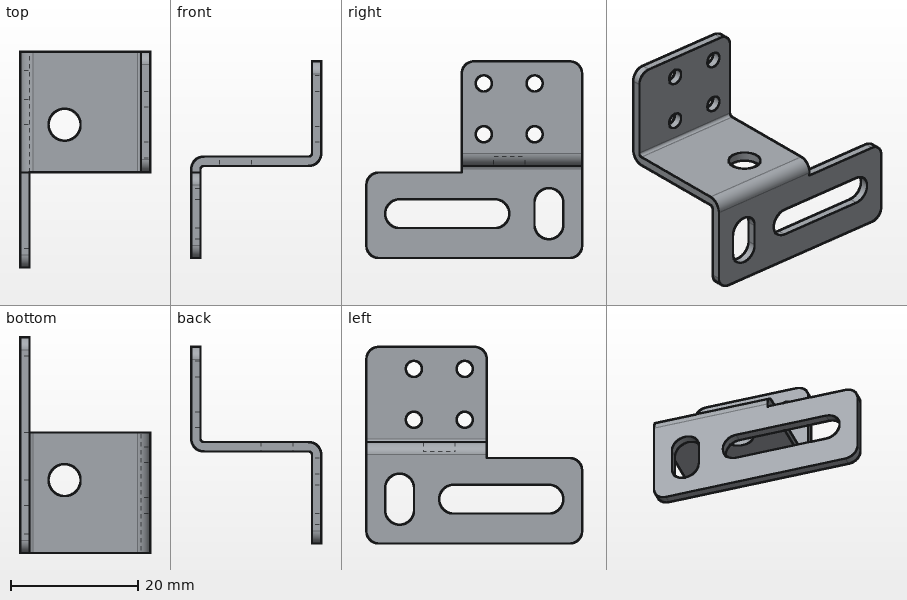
import cadquery as cq


thickness = 1.5
inner_bend_radius = 0.5
outer_bend_radius = inner_bend_radius + thickness
corner_radius = 2.0

depth_x = 20.5
length_y = 34.0
height_z = 31.0
bracket_width = 19.0
web_top_z = 16.0
web_bottom_z = web_top_z - thickness
arm_height = 13.5

slot_width = 4.5
slot_center_z = 7.0
slot_edge_margin = 3.0
short_slot_length = 8.0
long_slot_length = 19.5
short_slot_y = -(slot_edge_margin + slot_width / 2)
long_slot_y = -(length_y - slot_edge_margin - long_slot_length / 2)

small_hole_diameter = 2.5
small_hole_pitch = 8.0
small_hole_margin = 3.5
pattern_center_y = -(bracket_width - small_hole_margin - small_hole_pitch / 2)
pattern_center_z = height_z - small_hole_margin - small_hole_pitch / 2

web_hole_diameter = 5.0
web_hole_x = 7.0
web_hole_y = -11.5


def bent_strip():
    """Z-shaped strip with rounded bends."""
    upper_inner_x = depth_x - thickness
    return (
        cq.Workplane("XZ")
        .moveTo(0, 0)
        .lineTo(0, web_top_z - outer_bend_radius)
        .radiusArc((outer_bend_radius, web_top_z), outer_bend_radius)
        .lineTo(upper_inner_x - inner_bend_radius, web_top_z)
        .radiusArc((upper_inner_x, web_top_z + inner_bend_radius), -inner_bend_radius)
        .lineTo(upper_inner_x, height_z)
        .lineTo(depth_x, height_z)
        .lineTo(depth_x, web_bottom_z + outer_bend_radius)
        .radiusArc((depth_x - outer_bend_radius, web_bottom_z), outer_bend_radius)
        .lineTo(thickness + inner_bend_radius, web_bottom_z)
        .radiusArc((thickness, web_bottom_z - inner_bend_radius), -inner_bend_radius)
        .lineTo(thickness, 0)
        .close()
        .extrude(bracket_width)
    )


def lower_plate():
    """Lower plate over the full length, reaching past the front edge of the web."""
    return (
        cq.Workplane("XY", origin=(0, -length_y, 0))
        .box(thickness, length_y, arm_height, centered=False)
    )


def round_plate_corners(body):
    """Round the outer corners of both plates in the plane of the sheet."""
    return (
        body.edges("|X and (>Z or <Z)").fillet(corner_radius)
        .faces("<Y").edges("|X and >Z").fillet(corner_radius)
    )


def slot_cutter(center_y, length, angle):
    """Slot through the lower plate; at 0 degrees it runs along Y."""
    return (
        cq.Workplane("YZ")
        .center(center_y, slot_center_z)
        .slot2D(length, slot_width, angle)
        .extrude(thickness)
    )


def small_hole_cutter():
    """Square pattern of four holes through the upper plate."""
    return (
        cq.Workplane("YZ", origin=(depth_x - thickness, pattern_center_y, pattern_center_z))
        .rarray(small_hole_pitch, small_hole_pitch, 2, 2)
        .circle(small_hole_diameter / 2)
        .extrude(thickness)
    )


def web_hole_cutter():
    """Round hole through the web."""
    return (
        cq.Workplane("XY", origin=(web_hole_x, web_hole_y, web_bottom_z))
        .circle(web_hole_diameter / 2)
        .extrude(thickness)
    )


bracket = round_plate_corners(bent_strip().union(lower_plate()))
result = (
    bracket
    .cut(slot_cutter(short_slot_y, short_slot_length, 90))
    .cut(slot_cutter(long_slot_y, long_slot_length, 0))
    .cut(small_hole_cutter())
    .cut(web_hole_cutter())
)